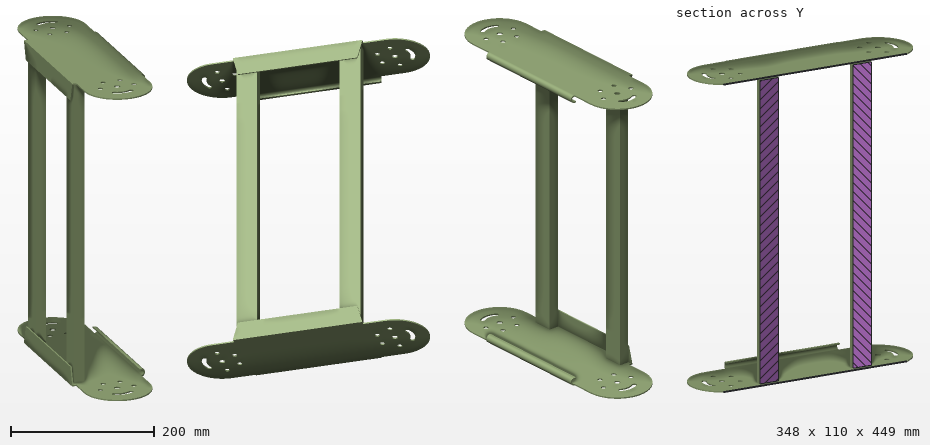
import cadquery as cq
import math

overall_height = 449.0
overall_depth = 110.0
plate_length = 348.0
plate_width = 98.0
sheet = 1.98

flange_drop = 27.0
flange_root_width = 187.0
flange_tip_width = 173.0

lip_depth = 11.5
lip_return = 8.5
lip_root_width = 182.5
lip_edge_width = 179.5

hole_circle_radius = 25.0
bolt_hole_diameter = 7.0
center_hole_diameter = 8.5
slot_width = 6.7
slot_half_angle = 30.0
bolt_hole_angles = (-90, -30, 30, 90)

column_width = 30.0
column_depth = 15.0
column_front = 50.5
column_outer_span = 179.5
column_height = 442.0

flange_front = overall_depth / 2
lip_back = overall_depth / 2
end_radius = plate_width / 2
end_center_x = plate_length / 2 - end_radius
plate_top = overall_height / 2
plate_underside = plate_top - sheet


def polar(radius, degrees):
    angle = math.radians(degrees)
    return radius * math.cos(angle), radius * math.sin(angle)


def make_flat():
    """Flat sheet with round ends, its upper face at the top of the frame."""
    return (
        cq.Workplane("XY", origin=(0, 0, plate_underside))
        .slot2D(plate_length, plate_width)
        .extrude(sheet)
    )


def make_flange():
    """Sheet bent sharply down along the front edge, tapering towards its free edge."""
    profile = (
        cq.Workplane("YZ")
        .moveTo(0, plate_top)
        .lineTo(-flange_front, plate_top)
        .lineTo(-flange_front, plate_top - flange_drop)
        .lineTo(-flange_front + sheet, plate_top - flange_drop)
        .lineTo(-flange_front + sheet, plate_underside)
        .lineTo(0, plate_underside)
        .close()
        .extrude(flange_root_width / 2, both=True)
    )
    taper = (
        cq.Workplane("XZ")
        .moveTo(-flange_root_width / 2, plate_top)
        .lineTo(flange_root_width / 2, plate_top)
        .lineTo(flange_root_width / 2, plate_underside)
        .lineTo(flange_tip_width / 2, plate_top - flange_drop)
        .lineTo(-flange_tip_width / 2, plate_top - flange_drop)
        .lineTo(-flange_root_width / 2, plate_underside)
        .close()
        .extrude(2 * flange_front, both=True)
    )
    return profile.intersect(taper)


def make_lip():
    """Sheet curled down and back under the rear edge, with slightly tapered ends."""
    outer_radius = lip_depth / 2
    bend_y = lip_back - outer_radius
    bend_z = plate_top - outer_radius
    return_y = lip_back - lip_return
    lip_bottom = plate_top - lip_depth
    curl = (
        cq.Workplane("YZ")
        .moveTo(return_y, plate_top)
        .lineTo(bend_y, plate_top)
        .threePointArc((lip_back, bend_z), (bend_y, lip_bottom))
        .lineTo(return_y, lip_bottom)
        .lineTo(return_y, lip_bottom + sheet)
        .lineTo(bend_y, lip_bottom + sheet)
        .threePointArc((lip_back - sheet, bend_z), (bend_y, plate_underside))
        .lineTo(return_y, plate_underside)
        .close()
        .extrude(lip_root_width / 2, both=True)
    )
    taper = (
        cq.Workplane("XY")
        .moveTo(-lip_root_width / 2, 0)
        .lineTo(-lip_root_width / 2, end_radius)
        .lineTo(-lip_edge_width / 2, lip_back)
        .lineTo(lip_edge_width / 2, lip_back)
        .lineTo(lip_root_width / 2, end_radius)
        .lineTo(lip_root_width / 2, 0)
        .close()
        .extrude(overall_height)
    )
    return curl.intersect(taper)


def make_hole_pattern(side):
    """Cutter for one plate end: centre hole, bolt holes and an arc slot facing outwards."""
    pattern = (
        cq.Workplane("XY")
        .circle(center_hole_diameter / 2)
        .extrude(overall_height)
    )
    bolt_points = [polar(hole_circle_radius, angle) for angle in bolt_hole_angles]
    bolts = (
        cq.Workplane("XY")
        .pushPoints(bolt_points)
        .circle(bolt_hole_diameter / 2)
        .extrude(overall_height)
    )
    inner_radius = hole_circle_radius - slot_width / 2
    outer_radius = hole_circle_radius + slot_width / 2
    first_angle = 180 - slot_half_angle
    last_angle = 180 + slot_half_angle
    slot = (
        cq.Workplane("XY")
        .moveTo(*polar(outer_radius, first_angle))
        .threePointArc(polar(outer_radius, 180), polar(outer_radius, last_angle))
        .tangentArcPoint(polar(inner_radius, last_angle), relative=False)
        .threePointArc(polar(inner_radius, 180), polar(inner_radius, first_angle))
        .tangentArcPoint(polar(outer_radius, first_angle), relative=False)
        .close()
        .extrude(overall_height)
    )
    pattern = pattern.union(bolts).union(slot)
    if side > 0:
        pattern = pattern.mirror("YZ")
    return pattern.translate((side * end_center_x, 0, 0))


def make_plate(level):
    """End plate with flange, lip and holes: upper one for level 1, mirrored lower one for level -1."""
    plate = make_flat().union(make_flange()).union(make_lip())
    for side in (-1, 1):
        plate = plate.cut(make_hole_pattern(side))
    if level < 0:
        plate = plate.mirror("XY")
    return plate


def make_column(side):
    """Upright bar centred between the two plates, with a small gap at each end."""
    column_x = side * (column_outer_span - column_width) / 2
    column_y = -column_front + column_depth / 2
    return (
        cq.Workplane("XY")
        .box(column_width, column_depth, column_height)
        .translate((column_x, column_y, 0))
    )


plates = [make_plate(level) for level in (-1, 1)]
columns = [make_column(side) for side in (-1, 1)]

result = cq.Compound.makeCompound([body.val() for body in plates + columns])